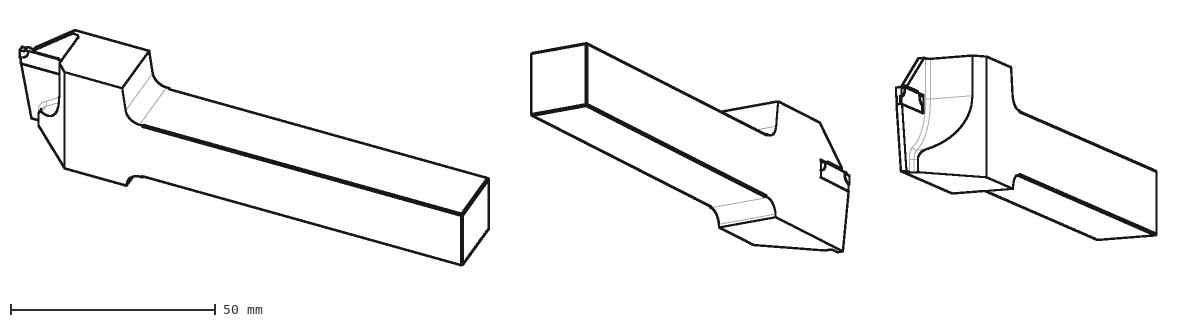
import cadquery as cq
import math


total_length = 125.0
depth = 16.1
head_height = 30.0
shank_bottom = 4.0
shank_top = shank_bottom + depth
shank_chamfer = 0.4
head_top_right = 34.0
head_bottom_right = 35.1
neck_slope = math.tan(math.radians(8))
neck_fillet = 3.8
neck_top_x = head_top_right + (head_height - shank_top) * neck_slope
neck_bottom_x = head_bottom_right + shank_bottom * neck_slope

blade_thickness = 1.5
blade_bottom_x = 3.1
blade_seat_x = 0.4
nose_x = 3.6
nose_z = 21.2
blade_top_x = 14.1

bevel_front_x = 18.6
bevel_blade_x = bevel_front_x - (depth - blade_thickness)
wall_x = 16.0
big_radius = 16.0
big_center_x = wall_x - big_radius
big_center_z = 20.0
land_x = 5.9
small_radius = 3.0
small_center_x = land_x + small_radius
shoulder_fillet = 0.9

insert_length = 13.6
insert_bottom = 16.1
insert_top = 20.6
insert_recess = 0.1
end_chamfer = 0.2
tip_radius = 2.2
tip_step_length = 1.1
tip_step_height = 0.4
tip_z = insert_top - tip_step_height

slit_height = 0.4
slit_end = 10.4

margin = 6.2


def prism(sketch, front_depth, back_depth=0.0):
    """Extrude an XZ outline between two depths measured from the back face."""
    return sketch.extrude(front_depth - back_depth).translate((0, -back_depth, 0))


def make_blank():
    """Head and blade outline at full depth, joined to the square shank."""
    head = prism(
        cq.Workplane("XZ").polyline([
            (blade_bottom_x, 0),
            (head_bottom_right, 0),
            (neck_bottom_x, shank_bottom),
            (neck_top_x, shank_top),
            (head_top_right, head_height),
            (blade_top_x, head_height),
            (nose_x, nose_z),
            (nose_x, insert_bottom),
            (blade_seat_x, insert_bottom),
        ]).close(),
        depth,
    )
    neck_x = max(neck_top_x, neck_bottom_x)
    straight_start = neck_x + neck_fillet
    stub = prism(
        cq.Workplane("XZ").polyline([
            (wall_x + neck_fillet, shank_bottom),
            (straight_start, shank_bottom),
            (straight_start, shank_top),
            (wall_x + neck_fillet, shank_top),
        ]).close(),
        depth,
    )
    corner = cq.selectors.BoxSelector(
        (neck_bottom_x - shank_chamfer, -depth, shank_bottom - shank_chamfer),
        (neck_x + shank_chamfer, 0, shank_top + shank_chamfer),
    )
    head = head.union(stub).edges("|Y").edges(corner).fillet(neck_fillet)
    shank = cq.Workplane("XY").box(
        total_length - straight_start, depth, depth, centered=False
    ).translate((straight_start, -depth, shank_bottom))
    shank = shank.edges("|X or >X").chamfer(shank_chamfer)
    return head.union(shank)


def bevel_cutter():
    """45 degree bevel across the front of the head, stopping at the blade."""
    reach = depth + margin
    return (
        cq.Workplane("XY")
        .polyline([
            (bevel_blade_x, -blade_thickness),
            (bevel_front_x + margin, -reach),
            (-margin, -reach),
            (-margin, -blade_thickness),
        ]).close()
        .extrude(head_height)
    )


def shoulder_cutter():
    """Space in front of the blade, with an S-shaped wall rounded into the blade face."""
    center_dx = small_center_x - big_center_x
    center_dz = math.sqrt((big_radius + small_radius) ** 2 - center_dx ** 2)
    small_center_z = big_center_z - center_dz
    join_angle = math.atan2(-center_dz, center_dx)

    def on_big(angle):
        return (big_center_x + big_radius * math.cos(angle),
                big_center_z + big_radius * math.sin(angle))

    def on_small(angle):
        return (small_center_x + small_radius * math.cos(angle),
                small_center_z + small_radius * math.sin(angle))

    small_start_angle = join_angle + math.pi
    outline = (
        cq.Workplane("XZ")
        .moveTo(-margin, head_height + margin)
        .lineTo(wall_x, head_height + margin)
        .lineTo(wall_x, big_center_z)
        .threePointArc(on_big(join_angle / 2), on_big(join_angle))
        .threePointArc(on_small((small_start_angle + math.pi) / 2), on_small(math.pi))
        .lineTo(land_x, -margin)
        .lineTo(-margin, -margin)
        .close()
    )
    cutter = prism(outline, depth + margin, blade_thickness)
    return cutter.faces(">Y").edges().fillet(shoulder_fillet)


def make_holder():
    """Shank, head and blade with the insert seat and the clamping slit."""
    seat = prism(
        cq.Workplane("XZ").moveTo(0, insert_bottom).lineTo(insert_length, insert_bottom)
        .lineTo(insert_length, insert_top).lineTo(0, insert_top).close(),
        blade_thickness,
    )
    slit = prism(
        cq.Workplane("XZ").moveTo(0, insert_top).lineTo(slit_end, insert_top)
        .lineTo(slit_end, insert_top + slit_height).lineTo(0, insert_top + slit_height).close(),
        blade_thickness,
    )
    return make_blank().cut(bevel_cutter()).cut(shoulder_cutter()).cut(seat).cut(slit)


def make_insert():
    """Double-ended insert: slim body with a full-width rounded tip at each end."""
    envelope = cq.Workplane("XZ").polyline([
        (0, insert_bottom),
        (insert_length, insert_bottom),
        (insert_length, tip_z),
        (insert_length - tip_step_length, tip_z),
        (insert_length - tip_step_length - tip_step_height, insert_top),
        (tip_step_length + tip_step_height, insert_top),
        (tip_step_length, tip_z),
        (0, tip_z),
    ]).close()
    full_width = prism(envelope, blade_thickness)
    slim_slab = cq.Workplane("XY").box(
        insert_length, blade_thickness - 2 * insert_recess, head_height, centered=False
    ).translate((0, insert_recess - blade_thickness, 0))
    body = full_width.intersect(slim_slab)
    body = body.faces("<X or >X").edges("|Z").chamfer(end_chamfer)
    for tip_x in (0, insert_length):
        disc = prism(cq.Workplane("XZ").center(tip_x, tip_z).circle(tip_radius), blade_thickness)
        body = body.union(full_width.intersect(disc))
    return body


holder = make_holder()
insert = make_insert()
result = cq.Compound.makeCompound([holder.solids().val(), insert.solids().val()])